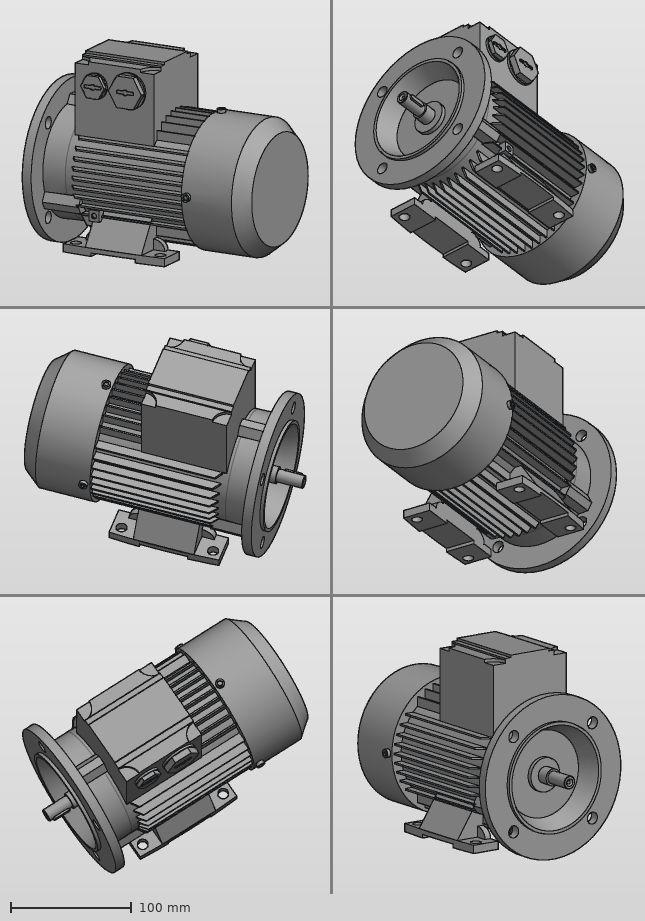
import cadquery as cq
import math


hexagon_sides = 6

shaft_dia = 11.0
shaft_length = 23.0
shaft_seat_dia = 14.4
shaft_chamfer = 0.4
key_width = 4.0
key_length = 16.0
key_end_gap = 3.5
key_crest = 7.0
centre_hole_dia = 3.3
centre_hole_depth = 10.0
countersink_dia = 6.4

flange_dia = 140.0
flange_thickness = 8.5
spigot_dia = 95.0
spigot_height = 3.0
recess_mouth_dia = 89.6
recess_floor_dia = 74.6
recess_floor_x = 15.0
bearing_boss_dia = 29.4
bearing_boss_height = 4.0
bolt_circle_dia = 115.0
flange_hole_dia = 10.2

bell_radius = 50.0
barrel_radius = 49.4
bell_end_x = 29.5
fin_tip_radius = 57.0
fin_crest_arc_radius = 51.0
fin_root_x = 35.6
fin_full_x = 41.3
fin_thickness = 1.4
fin_pitch = 8.0
fins_each_side_of_centre = 4

lug_count = 3
lug_end_x = 42.8
lug_crest_radius = 56.7
lug_crest_width = 7.6
lug_shoulder_radius = 49.0
lug_shoulder_width = 17.6
lug_base_radius = 40.0

hood_start_x = 144.7
hood_taper_x = 192.2
hood_end_x = 205.5
hood_radius = 59.0
hood_end_radius = 48.3
hood_screw_x = 150.0
hood_screw_dia = 7.2
hood_screw_height = 3.0
hood_socket_dia = 4.6
hood_socket_depth = 1.5

box_start_x = 32.25
box_length = 74.6
box_width = 75.2
box_top_z = 100.8
ridge_top_width = 39.4
ridge_base_width = 50.4
ridge_base_z = 98.7
lid_z = 97.3
corner_pocket_radius = 12.5
corner_pocket_z = 94.6

plug_z = 77.4
plug_collar_height = 2.0
small_plug_x = 51.6
small_plug_dia = 22.4
small_plug_height = 5.6
large_plug_x = 83.5
large_plug_dia = 31.4
large_plug_height = 7.6
plug_slot_length = 16.2
plug_slot_width = 2.8
plug_slot_centre_dia = 4.8
plug_slot_depth = 1.0

shaft_height = 63.0
foot_thickness = 7.1
foot_relief = 3.1
foot_start_x = 32.25
foot_length = 96.0
pad_length = 27.0
foot_end_y = 58.0
foot_middle_y = 59.8
foot_inner_y = 32.6
foot_hole_dia = 9.0
foot_hole_gauge = 100.0
foot_hole_first_x = 40.0
foot_hole_spacing = 80.0
web_start_x = 53.7
web_end_x = 106.8
web_base_y = 59.0
web_top_y = 40.0
web_top_z = -27.4
gusset_radius_x = 10.8
gusset_height = 9.3
gusset_outer_y = 38.4

earth_x = 56.5
earth_z = -31.0
earth_size = 9.8
earth_outer_y = 49.2
earth_inner_y = 42.0
earth_hole_dia = 4.8
earth_hole_depth = 2.0


def cylinder_x(radius, start_x, end_x):
    """Solid cylinder about the shaft axis."""
    return cq.Workplane("YZ", origin=(start_x, 0, 0)).circle(radius).extrude(end_x - start_x)


def revolve_x(profile):
    """Solid of revolution about the shaft axis from (x, radius) points."""
    return cq.Workplane("XY").polyline(profile).close().revolve(360, (0, 0, 0), (1, 0, 0))


def block(start, end):
    """Box between two opposite corners."""
    size = [b - a for a, b in zip(start, end)]
    return cq.Workplane("XY").box(*size, centered=False).translate(start)


def make_flange():
    """Round flange with a spigot and four bolt holes."""
    flange = cylinder_x(flange_dia / 2, 0, flange_thickness)
    flange = flange.union(cylinder_x(spigot_dia / 2, -spigot_height, flange_thickness))
    hole_offset = bolt_circle_dia / 2 * math.cos(math.pi / 4)
    holes = (
        cq.Workplane("YZ")
        .rect(2 * hole_offset, 2 * hole_offset, forConstruction=True)
        .vertices()
        .circle(flange_hole_dia / 2)
        .extrude(flange_thickness)
    )
    return flange.cut(holes)


def make_frame():
    """Slightly tapered end bell that runs on into the barrel."""
    return revolve_x([
        (flange_thickness, 0),
        (flange_thickness, bell_radius),
        (bell_end_x, barrel_radius),
        (hood_start_x, barrel_radius),
        (hood_start_x, 0),
    ])


def fin_half_span(offset):
    """Distance from the shaft axis to the flat tip of a fin that stands off the centre plane."""
    outer_offset = abs(offset) + fin_thickness / 2
    crest_centre = fin_tip_radius - fin_crest_arc_radius
    return crest_centre + math.sqrt(fin_crest_arc_radius**2 - outer_offset**2)


def make_fins():
    """Parallel horizontal and vertical fins, trimmed by a conical front."""
    envelope = revolve_x([
        (fin_root_x, 0),
        (fin_root_x, barrel_radius),
        (fin_full_x, fin_tip_radius),
        (hood_start_x, fin_tip_radius),
        (hood_start_x, 0),
    ])
    centre_x = (fin_root_x + hood_start_x) / 2
    length = hood_start_x - fin_root_x
    slabs = cq.Workplane("XY")
    for index in range(-fins_each_side_of_centre, fins_each_side_of_centre + 1):
        offset = index * fin_pitch
        span = 2 * fin_half_span(offset)
        horizontal = cq.Workplane("XY").box(length, span, fin_thickness)
        vertical = cq.Workplane("XY").box(length, fin_thickness, span)
        slabs = slabs.union(horizontal.translate((centre_x, 0, offset)))
        slabs = slabs.union(vertical.translate((centre_x, offset, 0)))
    return slabs.intersect(envelope)


def make_lugs():
    """Tapered lugs spaced evenly around the bell, the first one on top."""
    outline = [
        (-lug_shoulder_width / 2, lug_base_radius),
        (-lug_shoulder_width / 2, lug_shoulder_radius),
        (-lug_crest_width / 2, lug_crest_radius),
        (lug_crest_width / 2, lug_crest_radius),
        (lug_shoulder_width / 2, lug_shoulder_radius),
        (lug_shoulder_width / 2, lug_base_radius),
    ]
    lug = (
        cq.Workplane("YZ", origin=(flange_thickness, 0, 0))
        .polyline(outline)
        .close()
        .extrude(lug_end_x - flange_thickness)
    )
    lugs = lug
    for index in range(1, lug_count):
        lugs = lugs.union(lug.rotate((0, 0, 0), (1, 0, 0), index * 360 / lug_count))
    return lugs


def make_hood():
    """Fan hood with a conical rear edge."""
    return revolve_x([
        (hood_start_x, 0),
        (hood_start_x, hood_radius),
        (hood_taper_x, hood_radius),
        (hood_end_x, hood_end_radius),
        (hood_end_x, 0),
    ])


def make_hood_screws():
    """Socket head screws on the top and both sides of the hood."""
    head_top = hood_radius + hood_screw_height
    screw = (
        cq.Workplane("XY", origin=(hood_screw_x, 0, hood_radius - hood_screw_height))
        .circle(hood_screw_dia / 2)
        .extrude(2 * hood_screw_height)
    )
    socket = (
        cq.Workplane("XY", origin=(hood_screw_x, 0, head_top - hood_socket_depth))
        .polygon(hexagon_sides, hood_socket_dia)
        .extrude(hood_socket_depth)
    )
    screw = screw.cut(socket)
    screws = screw
    for angle in (-90, 90):
        screws = screws.union(screw.rotate((0, 0, 0), (1, 0, 0), angle))
    return screws


def make_terminal_box():
    """Box with a stepped ridge along its lid and a round pocket at each lid corner."""
    half = box_width / 2
    end_x = box_start_x + box_length
    bottom_z = fins_each_side_of_centre * fin_pitch + fin_thickness / 2
    box = block((box_start_x, -half, bottom_z), (end_x, half, lid_z))
    for width, top_z in ((ridge_base_width, ridge_base_z), (ridge_top_width, box_top_z)):
        box = box.union(block((box_start_x, -width / 2, lid_z), (end_x, width / 2, top_z)))
    pockets = (
        cq.Workplane("XY", origin=(box_start_x + box_length / 2, 0, corner_pocket_z))
        .rect(box_length, box_width, forConstruction=True)
        .vertices()
        .circle(corner_pocket_radius)
        .extrude(lid_z - corner_pocket_z)
    )
    return box.cut(pockets)


def make_plug(centre_x, diameter, height):
    """Hexagonal plug on a round collar, with a slot widened at its centre."""
    face_y = -box_width / 2
    base = cq.Workplane("XZ", origin=(centre_x, face_y, plug_z))
    collar = base.circle(diameter / 2).extrude(plug_collar_height)
    head = base.polygon(hexagon_sides, diameter).extrude(height)
    slot_floor = cq.Workplane("XZ", origin=(centre_x, face_y - height + plug_slot_depth, plug_z))
    slot = slot_floor.slot2D(plug_slot_length, plug_slot_width).extrude(plug_slot_depth)
    slot_centre = slot_floor.circle(plug_slot_centre_dia / 2).extrude(plug_slot_depth)
    return collar.union(head).cut(slot).cut(slot_centre)


def make_foot():
    """Foot on the -Y side: base plate with two raised pads, sloping web and end gussets."""
    end_x = foot_start_x + foot_length
    base_z = -shaft_height
    plate_top_z = base_z + foot_thickness
    foot = (
        cq.Workplane("XY", origin=(0, 0, base_z))
        .moveTo(foot_start_x, -foot_inner_y)
        .lineTo(foot_start_x, -foot_end_y)
        .threePointArc((foot_start_x + foot_length / 2, -foot_middle_y), (end_x, -foot_end_y))
        .lineTo(end_x, -foot_inner_y)
        .close()
        .extrude(foot_thickness)
    )
    relief = block(
        (foot_start_x + pad_length, -foot_middle_y, base_z),
        (end_x - pad_length, -foot_inner_y, base_z + foot_relief),
    )
    holes = (
        cq.Workplane("XY", origin=(0, 0, base_z))
        .pushPoints([
            (foot_hole_first_x, -foot_hole_gauge / 2),
            (foot_hole_first_x + foot_hole_spacing, -foot_hole_gauge / 2),
        ])
        .circle(foot_hole_dia / 2)
        .extrude(foot_thickness)
    )
    web = (
        cq.Workplane("YZ", origin=(web_start_x, 0, 0))
        .polyline([
            (-foot_inner_y, plate_top_z),
            (-web_base_y, plate_top_z),
            (-web_top_y, web_top_z),
            (-foot_inner_y, web_top_z),
        ])
        .close()
        .extrude(web_end_x - web_start_x)
    )
    return foot.cut(relief).cut(holes).union(web).union(make_gusset_rib(plate_top_z))


def make_gusset_rib(base_z):
    """Rib through the web whose ends fall to the foot plate in elliptical quadrants."""
    thickness = gusset_outer_y - foot_inner_y
    rib = block(
        (web_start_x, -gusset_outer_y, base_z),
        (web_end_x, -foot_inner_y, base_z + gusset_height),
    )
    for x in (web_start_x, web_end_x):
        end = (
            cq.Workplane("XZ", origin=(x, -foot_inner_y, base_z))
            .ellipse(gusset_radius_x, gusset_height)
            .extrude(thickness)
        )
        rib = rib.union(end)
    floor = block(
        (web_start_x - gusset_radius_x, -gusset_outer_y, base_z - gusset_height),
        (web_end_x + gusset_radius_x, -foot_inner_y, base_z),
    )
    return rib.cut(floor)


def make_earth_terminal():
    """Square block with a blind hole, above the foot on the -Y side."""
    half = earth_size / 2
    terminal = block(
        (earth_x - half, -earth_outer_y, earth_z - half),
        (earth_x + half, -earth_inner_y, earth_z + half),
    )
    hole = (
        cq.Workplane("XZ", origin=(earth_x, -earth_outer_y + earth_hole_depth, earth_z))
        .circle(earth_hole_dia / 2)
        .extrude(earth_hole_depth)
    )
    return terminal.cut(hole)


def make_flange_recess():
    """Conical recess in the flange that leaves a bearing boss standing on its floor."""
    recess = revolve_x([
        (-spigot_height, 0),
        (-spigot_height, recess_mouth_dia / 2),
        (recess_floor_x, recess_floor_dia / 2),
        (recess_floor_x, 0),
    ])
    boss_face_x = recess_floor_x - bearing_boss_height
    return recess.cut(cylinder_x(bearing_boss_dia / 2, boss_face_x, recess_floor_x))


def make_shaft():
    """Stepped shaft with a round-ended key and a countersunk centre hole."""
    shaft = cylinder_x(shaft_dia / 2, -shaft_length, 0).faces("<X").chamfer(shaft_chamfer)
    shaft = shaft.union(cylinder_x(shaft_seat_dia / 2, 0, recess_floor_x))
    key = (
        cq.Workplane("XZ", origin=(-key_end_gap - key_length / 2, 0, 0))
        .slot2D(key_length, key_width)
        .extrude(key_crest)
    )
    hole = cylinder_x(centre_hole_dia / 2, -shaft_length, -shaft_length + centre_hole_depth)
    countersink_depth = (countersink_dia - centre_hole_dia) / 2
    countersink = revolve_x([
        (-shaft_length, 0),
        (-shaft_length, countersink_dia / 2),
        (-shaft_length + countersink_depth, centre_hole_dia / 2),
        (-shaft_length + countersink_depth, 0),
    ])
    return shaft.union(key).cut(hole).cut(countersink)


foot = make_foot()

result = make_frame()
result = result.union(make_fins())
result = result.union(make_lugs())
result = result.union(make_flange())
result = result.cut(make_flange_recess())
result = result.union(make_shaft())
result = result.union(make_hood())
result = result.union(make_hood_screws())
result = result.union(make_terminal_box())
result = result.union(make_plug(small_plug_x, small_plug_dia, small_plug_height))
result = result.union(make_plug(large_plug_x, large_plug_dia, large_plug_height))
result = result.union(foot)
result = result.union(foot.mirror("XZ"))
result = result.union(make_earth_terminal())